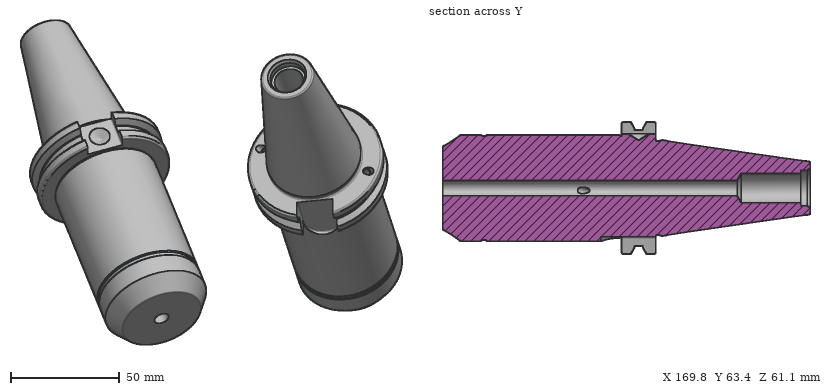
import cadquery as cq
import math

total_length = 169.8

gauge_x = 68.5
gauge_diameter = 44.5
taper_ratio = 7 / 24
shank_end_fillet = 0.8
neck_diameter = 43.7
neck_start_x = gauge_x + 1.5
neck_fillet = 0.5

flange_front_x = gauge_x + 2.9
flange_width = 16.0
flange_back_x = flange_front_x + flange_width
flange_diameter = 63.4
flange_fillet = 1.0
groove_center_x = gauge_x + 10.9
groove_floor_diameter = 56.2
groove_mouth_half_width = 3.5
groove_floor_half_width = 1.9
groove_flank_angle = 30.0

body_diameter = 49.3
body_start_diameter = 48.2
body_start_length = 1.0
ring_groove_x = 149.5
ring_groove_width = 2.7
ring_groove_depth = 0.5
nose_start_x = 161.5
nose_end_diameter = 38.4
nose_fillet = 0.5

passage_diameter = 7.0
bore_mouth_diameter = 18.2
pilot_diameter = 16.3
pilot_start_x = 1.5
pilot_end_x = 4.5
thread_bore_diameter = 13.5
thread_bore_end_x = 32.0
drill_point_angle = 118.0

slot_width = 16.8
slot_corner_fillet = 0.3
upper_slot_floor_z = 25.0
lower_slot_floor_z = -22.6
lower_slot_end_x = 96.8

dimple_diameter = 9.5

coolant_radius = 26.8
coolant_angle = 20.0
coolant_tilt = 35.0
coolant_entry_diameter = 4.0
coolant_entry_depth = 2.0
coolant_hole_diameter = 3.2

clearance = 3.4


def cone_height(diameter_drop):
    """Axial length of a drill point over the given change in diameter."""
    return diameter_drop / 2 / math.tan(math.radians(drill_point_angle / 2))


def revolve_about_x(points):
    """Revolve a closed (x, radius) outline around the X axis."""
    return cq.Workplane("XY").polyline(points).close().revolve(360, (0, 0, 0), (1, 0, 0))


def round_circle(body, x, radius, fillet):
    """Fillet the circular edge of the given radius in the plane at x."""
    margin = 0.08
    in_plane = cq.selectors.BoxSelector(
        (x - margin, -flange_diameter, -flange_diameter),
        (x + margin, flange_diameter, flange_diameter),
        boundingbox=True,
    )
    edges = body.edges(in_plane).edges("%CIRCLE").filter(
        lambda edge: abs(edge.radius() - radius) < margin
    )
    return edges.fillet(fillet)


def make_outer_body():
    gauge_radius = gauge_diameter / 2
    shank_end_radius = gauge_radius - gauge_x * taper_ratio / 2
    flange_radius = flange_diameter / 2
    body_radius = body_diameter / 2
    flank_length = groove_mouth_half_width - groove_floor_half_width
    flank_radius = flange_radius - flank_length / math.tan(math.radians(groove_flank_angle))
    ring_floor_radius = body_radius - ring_groove_depth
    ring_groove_end_x = ring_groove_x + ring_groove_width
    body = revolve_about_x([
        (0, 0),
        (0, shank_end_radius),
        (gauge_x, gauge_radius),
        (neck_start_x, neck_diameter / 2),
        (flange_front_x, neck_diameter / 2),
        (flange_front_x, flange_radius),
        (groove_center_x - groove_mouth_half_width, flange_radius),
        (groove_center_x - groove_floor_half_width, flank_radius),
        (groove_center_x - groove_floor_half_width, groove_floor_diameter / 2),
        (groove_center_x + groove_floor_half_width, groove_floor_diameter / 2),
        (groove_center_x + groove_floor_half_width, flank_radius),
        (groove_center_x + groove_mouth_half_width, flange_radius),
        (flange_back_x, flange_radius),
        (flange_back_x, body_start_diameter / 2),
        (flange_back_x + body_start_length, body_radius),
        (ring_groove_x, body_radius),
        (ring_groove_x + ring_groove_depth, ring_floor_radius),
        (ring_groove_end_x - ring_groove_depth, ring_floor_radius),
        (ring_groove_end_x, body_radius),
        (nose_start_x, body_radius),
        (total_length, nose_end_diameter / 2),
        (total_length, 0),
    ])
    rounded_circles = [
        (0, shank_end_radius, shank_end_fillet),
        (flange_front_x, neck_diameter / 2, neck_fillet),
        (flange_front_x, flange_radius, flange_fillet),
        (flange_back_x, flange_radius, flange_fillet),
        (total_length, nose_end_diameter / 2, nose_fillet),
    ]
    for x, radius, fillet in rounded_circles:
        body = round_circle(body, x, radius, fillet)
    return body


def make_bore():
    cone_end_x = thread_bore_end_x + cone_height(thread_bore_diameter - passage_diameter)
    return revolve_about_x([
        (0, 0),
        (0, bore_mouth_diameter / 2),
        (pilot_start_x, pilot_diameter / 2),
        (pilot_end_x, pilot_diameter / 2),
        (pilot_end_x, thread_bore_diameter / 2),
        (thread_bore_end_x, thread_bore_diameter / 2),
        (cone_end_x, passage_diameter / 2),
        (total_length, passage_diameter / 2),
        (total_length, 0),
    ])


def make_slot(start_x, end_x, floor_z, top_z):
    return cq.Workplane("XY").box(
        end_x - start_x, slot_width, top_z - floor_z, centered=(False, True, False)
    ).translate((start_x, 0, floor_z))


def make_drive_slots():
    start_x = flange_front_x
    outside_z = flange_diameter / 2 + clearance
    upper = make_slot(start_x, flange_back_x + clearance, upper_slot_floor_z, outside_z)
    cutter_x = lower_slot_end_x - slot_width / 2
    lower = make_slot(start_x, cutter_x, -outside_z, lower_slot_floor_z)
    round_end = (
        cq.Workplane("XY", origin=(cutter_x, 0, -outside_z))
        .circle(slot_width / 2)
        .extrude(lower_slot_floor_z + outside_z)
    )
    upper = upper.faces("<Z").edges("|X").fillet(slot_corner_fillet)
    lower = lower.union(round_end).faces(">Z").edges("not <X").fillet(slot_corner_fillet)
    return upper.union(lower)


def make_dimple():
    radius = dimple_diameter / 2
    return cq.Workplane("XY").add(cq.Solid.makeCone(
        radius, 0, cone_height(dimple_diameter),
        cq.Vector(groove_center_x, 0, upper_slot_floor_z), cq.Vector(0, 0, -1),
    ))


def make_coolant_hole(angle):
    """Stepped hole slanting from the flange face down to the axial passage."""
    tilt = math.radians(coolant_tilt)
    inward = cq.Vector(math.cos(tilt), -math.sin(tilt), 0)
    entry = cq.Vector(flange_front_x, coolant_radius, 0)
    start = entry - inward * clearance
    entry_hole = cq.Solid.makeCylinder(
        coolant_entry_diameter / 2, clearance + coolant_entry_depth, start, inward
    )
    length_to_axis = coolant_radius / math.sin(tilt)
    feed_hole = cq.Solid.makeCylinder(coolant_hole_diameter / 2, length_to_axis, entry, inward)
    hole = cq.Workplane("XY").add(entry_hole.fuse(feed_hole))
    return hole.rotate((0, 0, 0), (1, 0, 0), angle)


result = make_outer_body().cut(make_bore()).cut(make_drive_slots()).cut(make_dimple())
for angle in (coolant_angle, coolant_angle + 180):
    result = result.cut(make_coolant_hole(angle))